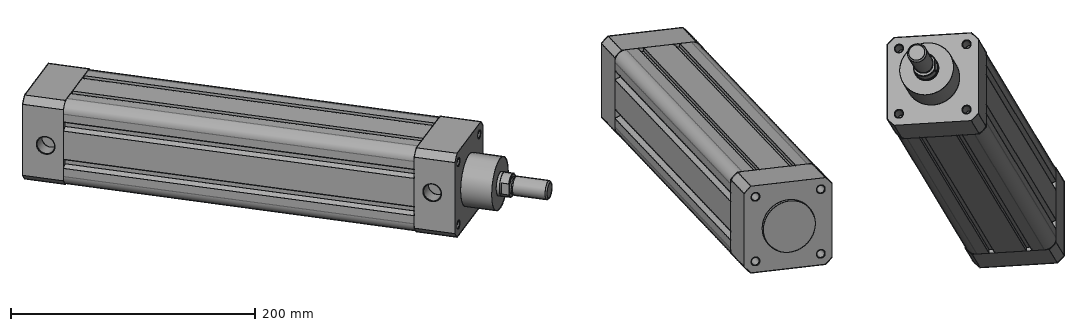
import cadquery as cq


total_length = 444.0
boss_length = 3.0
cap_length = 35.0
front_cap_face = 374.7
collar_length = 26.5
lip_length = 2.5
collar_end = front_cap_face + collar_length
shank_start = collar_end + lip_length
rear_cap_start = boss_length
barrel_start = rear_cap_start + cap_length
front_cap_start = front_cap_face - cap_length
barrel_length = front_cap_start - barrel_start

width = 76.0
half_width = width / 2
spigot_diameter = 45.0
lip_diameter = 20.5

turned_corner_radius = 49.7
screw_hole_pitch = 56.5
screw_hole_diameter = 6.5
screw_hole_depth = 13.5
screw_hole_chamfer = 0.5
port_diameter = 15.0
port_depth = 13.5
port_chamfer = 0.5
port_height_offset = 2.0
port_from_rear_face = 20.0
port_from_front_face = 19.5

barrel_corner_radius = 9.8
side_groove_center = 17.0
side_groove_mouth = 8.0
side_groove_floor = 4.0
side_groove_depth = 5.0
top_groove_center = 15.5
top_groove_width = 5.0
top_groove_depth = 3.0

shank_diameter = 20.0
shank_length = 8.0
shank_chamfer = 0.5
flats_setback = 1.5
across_flats = 17.5
stud_diameter = 16.0
stud_chamfer = 1.5
relief_diameter = 14.5
relief_length = 1.5
relief_taper_length = 1.5


def cylinder_along_x(start, length, diameter):
    return cq.Workplane("YZ").workplane(offset=start).circle(diameter / 2).extrude(length)


def make_cap_block(start):
    """Square block whose four edges are rounded by the turned cylinder."""
    square = cq.Workplane("YZ").workplane(offset=start).rect(width, width).extrude(cap_length)
    return square.intersect(cylinder_along_x(start, cap_length, 2 * turned_corner_radius))


def make_blind_hole(diameter, depth, chamfer):
    """Cutter for a hole going up from the origin along +Z, chamfered at its mouth."""
    radius = diameter / 2
    return (
        cq.Workplane("XZ")
        .lineTo(radius + chamfer, 0)
        .lineTo(radius, chamfer)
        .lineTo(radius, depth)
        .lineTo(0, depth)
        .close().revolve(360, (0, 0, 0), (0, 1, 0))
    )


def cut_screw_holes(cap, face, inward):
    """Cut four blind holes into a cap's outer face; inward is +1 or -1 along X."""
    hole = make_blind_hole(screw_hole_diameter, screw_hole_depth, screw_hole_chamfer)
    hole = hole.rotate((0, 0, 0), (0, 1, 0), inward * 90)
    for y_side in (-1, 1):
        for z_side in (-1, 1):
            y = y_side * screw_hole_pitch / 2
            z = z_side * screw_hole_pitch / 2
            cap = cap.cut(hole.translate((face, y, z)))
    return cap


def cut_port(cap, x, z):
    """Bore a blind air port into the -Y side."""
    port = make_blind_hole(port_diameter, port_depth, port_chamfer)
    port = port.rotate((0, 0, 0), (1, 0, 0), -90)
    return cap.cut(port.translate((x, -half_width, z)))


def make_rear_cap():
    """Rear cap with its locating boss."""
    boss = cylinder_along_x(0, boss_length, spigot_diameter)
    cap = make_cap_block(rear_cap_start).union(boss)
    cap = cut_screw_holes(cap, rear_cap_start, 1)
    return cut_port(cap, rear_cap_start + port_from_rear_face, -port_height_offset)


def make_front_cap():
    """Front cap with its guide collar and the lip that the rod starts from."""
    collar = cylinder_along_x(front_cap_face, collar_length, spigot_diameter)
    lip = cylinder_along_x(collar_end, lip_length, lip_diameter)
    cap = make_cap_block(front_cap_start).union(collar).union(lip)
    cap = cut_screw_holes(cap, front_cap_face, -1)
    return cut_port(cap, front_cap_face - port_from_front_face, port_height_offset)


def make_groove(center, mouth, floor, depth):
    """Lengthwise trapezoidal groove cutter in the +Z side of the barrel."""
    return (
        cq.Workplane("YZ").workplane(offset=barrel_start)
        .moveTo(center - mouth / 2, half_width)
        .lineTo(center + mouth / 2, half_width)
        .lineTo(center + floor / 2, half_width - depth)
        .lineTo(center - floor / 2, half_width - depth)
        .close().extrude(barrel_length)
    )


def make_barrel():
    """Square profile with two grooves in each side, equal on opposite sides."""
    barrel = (
        cq.Workplane("YZ").workplane(offset=barrel_start).rect(width, width).extrude(barrel_length)
        .edges("|X").fillet(barrel_corner_radius)
    )
    for side in (-1, 1):
        top_groove = make_groove(
            side * top_groove_center, top_groove_width, top_groove_width, top_groove_depth
        )
        side_groove = make_groove(
            side * side_groove_center, side_groove_mouth, side_groove_floor, side_groove_depth
        )
        for turn in (0, 180):
            barrel = barrel.cut(top_groove.rotate((0, 0, 0), (1, 0, 0), turn))
            barrel = barrel.cut(side_groove.rotate((0, 0, 0), (1, 0, 0), turn + 90))
    return barrel


def make_rod():
    """Round shank with two wrench flats, a thread relief and a chamfered stud."""
    shank_end = shank_start + shank_length
    relief_end = shank_end + relief_length
    stud_start = relief_end + relief_taper_length
    shank_radius = shank_diameter / 2
    stud_radius = stud_diameter / 2
    relief_radius = relief_diameter / 2
    rod = (
        cq.Workplane("XY")
        .moveTo(shank_start, 0)
        .lineTo(shank_start, shank_radius)
        .lineTo(shank_end - shank_chamfer, shank_radius)
        .lineTo(shank_end, shank_radius - shank_chamfer)
        .lineTo(shank_end, relief_radius)
        .lineTo(relief_end, relief_radius)
        .lineTo(stud_start, stud_radius)
        .lineTo(total_length - stud_chamfer, stud_radius)
        .lineTo(total_length, stud_radius - stud_chamfer)
        .lineTo(total_length, 0)
        .close().revolve(360, (0, 0, 0), (1, 0, 0))
    )
    flats_start = shank_start + flats_setback
    flats_length = shank_end - flats_start
    cutter = cq.Workplane("XY").box(
        flats_length, shank_diameter, shank_diameter, centered=(False, True, True)
    )
    for side in (-1, 1):
        cutter_y = side * (across_flats + shank_diameter) / 2
        rod = rod.cut(cutter.translate((flats_start, cutter_y, 0)))
    return rod


rear_cap = make_rear_cap()
barrel = make_barrel()
front_cap = make_front_cap()
rod = make_rod()

result = cq.Compound.makeCompound([rear_cap.val(), barrel.val(), front_cap.val(), rod.val()])